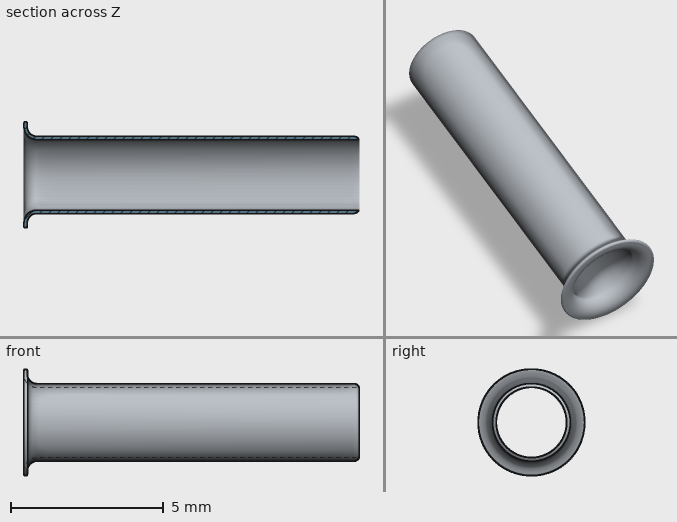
import cadquery as cq
import math

length = 11.0
flange_diameter = 3.5
bore_diameter = 2.3
wall = 0.125
flare_radius = 0.3
rim_radius = 0.06
tip_radius = 0.2

bore_radius = bore_diameter / 2
tube_radius = bore_radius + wall
flange_radius = flange_diameter / 2
mouth_radius = flare_radius + wall
bend_end_x = wall + flare_radius
bend_center_r = tube_radius + flare_radius
rim_center_r = flange_radius - rim_radius

tip_center_r = tube_radius - tip_radius
tip_start_x = length - math.sqrt(tip_radius**2 - (bore_radius - tip_center_r) ** 2)


def arc_point(center_x, center_r, radius, angle):
    """Point on an arc of the wall section; the angle in degrees is measured from +X."""
    turn = math.radians(angle)
    return (center_x + radius * math.cos(turn), center_r + radius * math.sin(turn))


def wall_section():
    """Half section of the tube wall: X along the axis, Y as the distance from it."""
    flare_inside = arc_point(bend_end_x, bend_center_r, mouth_radius, 225)
    flare_outside = arc_point(bend_end_x, bend_center_r, flare_radius, 225)
    rim_front = arc_point(rim_radius, rim_center_r, rim_radius, 135)
    rim_back = arc_point(wall - rim_radius, rim_center_r, rim_radius, 45)
    tip_end_angle = math.degrees(math.asin((bore_radius - tip_center_r) / tip_radius))
    tip_middle = arc_point(tip_start_x, tip_center_r, tip_radius, (90 + tip_end_angle) / 2)
    return (
        cq.Workplane("XY")
        .moveTo(length, bore_radius)
        .lineTo(bend_end_x, bore_radius)
        .threePointArc(flare_inside, (0, bend_center_r))
        .lineTo(0, rim_center_r)
        .threePointArc(rim_front, (rim_radius, flange_radius))
        .lineTo(wall - rim_radius, flange_radius)
        .threePointArc(rim_back, (wall, rim_center_r))
        .lineTo(wall, bend_center_r)
        .threePointArc(flare_outside, (bend_end_x, tube_radius))
        .lineTo(tip_start_x, tube_radius)
        .threePointArc(tip_middle, (length, bore_radius))
        .close()
    )


result = wall_section().revolve(360, (0, 0, 0), (1, 0, 0))